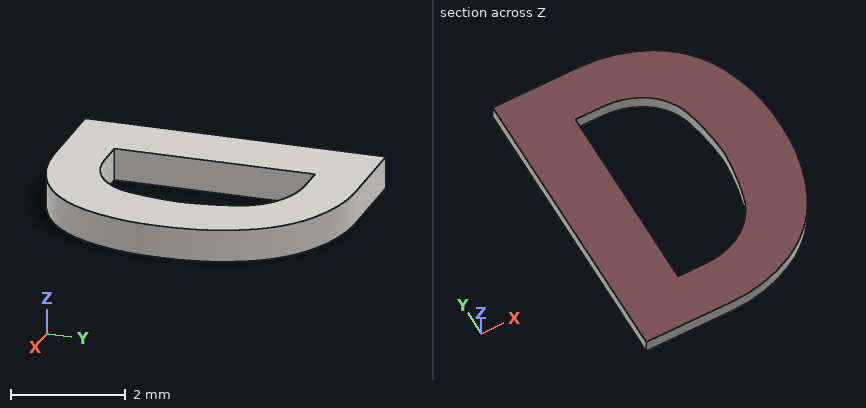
import cadquery as cq

HEIGHT = 5.53
WIDTH = 4.23
THICKNESS = 0.6

STEM_WIDTH = 1.15
BAR_WIDTH = 0.925
BOWL_WIDTH = 1.15

OUTER_BAR_END = 1.72
OUTER_JOINTS = [(3.015, 2.445), (3.925, 1.48)]
INNER_BAR_END = 1.705
INNER_JOINTS = [(2.385, 1.67), (2.935, 0.96)]


def d_plate(left, right, half_height, bar_end, joints):
    """Solid D: a straight left side and bars, closed by a bowl of tangent arcs."""
    upper_outline = (
        cq.Workplane("XY")
        .moveTo(left, 0)
        .lineTo(left, half_height)
        .lineTo(bar_end, half_height)
    )
    for end_point in joints + [(right, 0)]:
        upper_outline = upper_outline.tangentArcPoint(end_point, relative=False)
    upper_half = upper_outline.close().extrude(THICKNESS)
    return upper_half.union(upper_half.mirror("XZ")).clean()


outer_half_height = HEIGHT / 2
inner_half_height = outer_half_height - BAR_WIDTH

body = d_plate(0, WIDTH, outer_half_height, OUTER_BAR_END, OUTER_JOINTS)
opening = d_plate(STEM_WIDTH, WIDTH - BOWL_WIDTH, inner_half_height, INNER_BAR_END, INNER_JOINTS)

result = body.cut(opening)